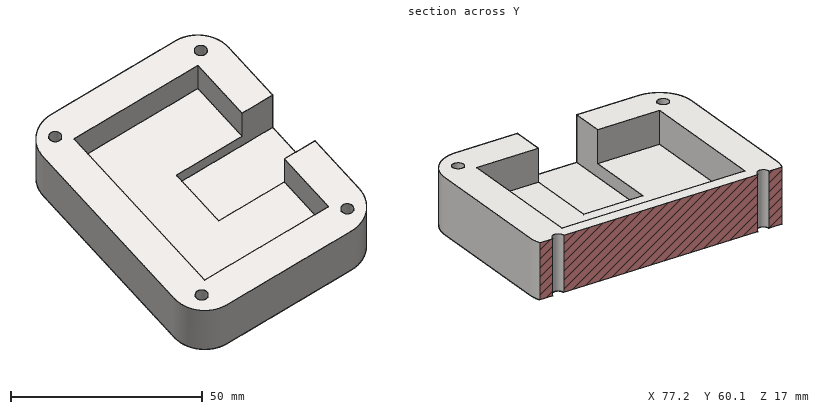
import cadquery as cq

length = 77.15
width = 60.1
height = 17.0
corner_radius = 9.95

rim = corner_radius
pocket_depth = 10.0

channel_width = 18.5
channel_length = 31.25
channel_depth = 14.05

hole_diameter = 3.4
hole_spacing_x = 64.2
hole_spacing_y = 47.2


def make_block():
    """Plain block with rounded vertical edges, standing on Z = 0."""
    block = cq.Workplane("XY").box(length, width, height, centered=(True, True, False))
    return block.edges("|Z").fillet(corner_radius)


def cut_pocket(body):
    pocket = cq.Workplane("XY").box(
        length - 2 * rim, width - 2 * rim, pocket_depth, centered=(True, True, False)
    )
    return body.cut(pocket.translate((0, 0, height - pocket_depth)))


def cut_channel(body):
    channel = cq.Workplane("XY").box(
        channel_width, channel_length, channel_depth, centered=(True, False, False)
    )
    return body.cut(channel.translate((0, width / 2 - channel_length, height - channel_depth)))


def drill_corner_holes(body):
    drills = (
        cq.Workplane("XY")
        .rect(hole_spacing_x, hole_spacing_y, forConstruction=True)
        .vertices()
        .circle(hole_diameter / 2)
        .extrude(height)
    )
    return body.cut(drills)


result = make_block()
result = cut_pocket(result)
result = cut_channel(result)
result = drill_corner_holes(result)